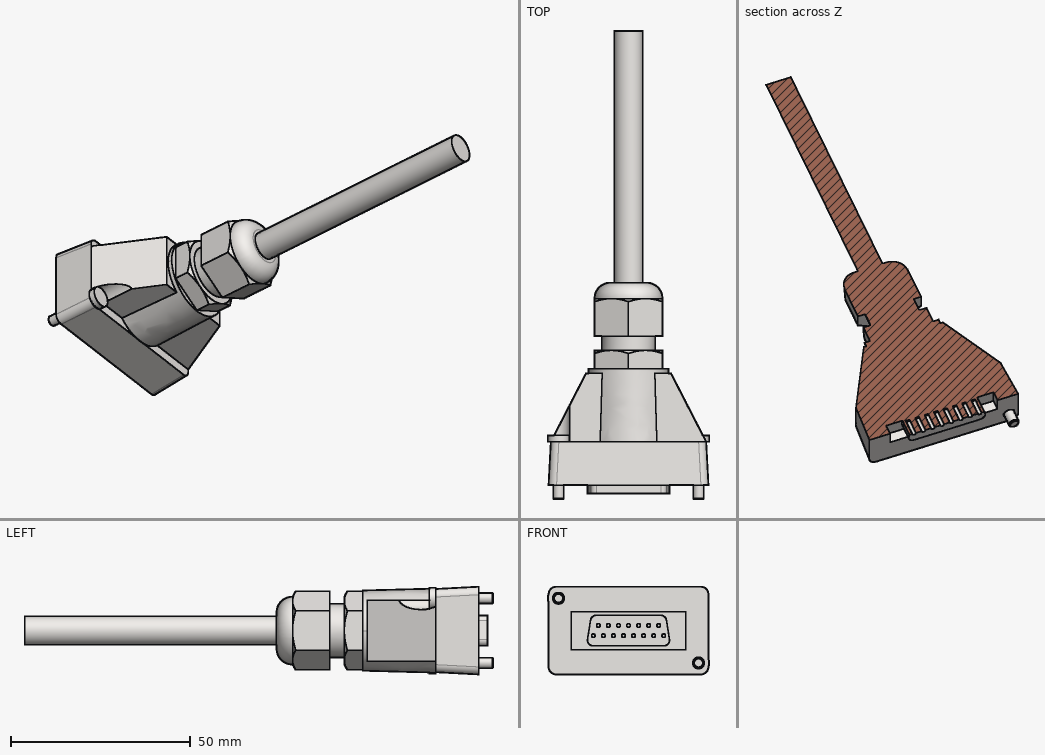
import cadquery as cq
import math


block_width = 44.6
block_height = 24.5
block_depth = 12.0
block_draft = 3.0
block_corner_radius = 2.2

opening_width = 32.0
opening_height = 10.6
opening_depth = 3.0

plug_width = 23.4
plug_height = 8.5
plug_slant = 9.0
plug_corner_radius = 1.6
plug_overhang = 2.4

contact_diameter = 1.0
contact_depth = 5.0
contact_pitch = 2.8
contact_row_spacing = 2.84
upper_contacts = 7
lower_contacts = 8

screw_diameter = 3.0
screw_hole_diameter = 3.2
screw_tip_chamfer = 0.3
screw_overhang = 4.0
screw_head_diameter = 6.0
screw_head_height = 1.8
head_span = 44.99
screw_x = (head_span - screw_head_diameter) / 2
screw_z = 9.0
head_pocket_diameter = 6.3

wing_thickness = 17.0
wing_end_y = 31.1
wing_end_width = 23.7
barrel_end_y = 32.4
barrel_radius = 11.2
barrel_base_half_height = 11.75

hex_sides = 6
hex_across_flats = 19.0
hex_chamfer_angle = 30.0
lower_hex_end_y = 37.5
neck_diameter = 15.0
nut_start_y = 41.5
nut_end_y = 51.9
dome_radius = 4.5

cable_diameter = 8.0
total_length = 130.5
cable_end_y = total_length - screw_overhang


def section_at(y):
    """Sketch plane facing -Y, with local axes along X and Z."""
    return cq.Workplane("XZ", origin=(0, y, 0))


def rod(x, z, diameter, start_y, end_y):
    """Cylinder along Y."""
    return section_at(end_y).center(x, z).circle(diameter / 2).extrude(end_y - start_y)


def make_block():
    block = section_at(0).rect(block_width, block_height).extrude(-block_depth, taper=block_draft)
    return block.edges("not(|X or |Z)").fillet(block_corner_radius)


def make_wings():
    base_half = block_width / 2 - block_depth * math.tan(math.radians(block_draft))
    end_half = wing_end_width / 2
    outline = [
        (-base_half, block_depth),
        (base_half, block_depth),
        (end_half, wing_end_y),
        (-end_half, wing_end_y),
    ]
    return cq.Workplane("XY").polyline(outline).close().extrude(wing_thickness / 2, both=True)


def make_barrel():
    """Two round halves that coincide at the gland and lean apart in Z toward the block."""
    length = barrel_end_y - block_depth
    lean = barrel_base_half_height - barrel_radius
    barrel = cq.Workplane("XY")
    for shift in (-lean, lean):
        base = section_at(block_depth).center(0, shift).circle(barrel_radius)
        end = base.workplane(offset=-length).center(0, -shift).circle(barrel_radius)
        barrel = barrel.union(end.loft(ruled=True))
    return barrel


def make_hex(start_y, end_y):
    """Hexagon with corners up and down, its +Y corners trimmed by a cone."""
    corner_radius = hex_across_flats / 2 / math.cos(math.pi / hex_sides)
    flat_radius = hex_across_flats / 2
    trim_drop = (corner_radius - flat_radius) * math.tan(math.radians(hex_chamfer_angle))
    prism = section_at(end_y).polygon(hex_sides, 2 * corner_radius).extrude(end_y - start_y)
    prism = prism.rotate((0, 0, 0), (0, 1, 0), 90)
    trim_profile = [
        (0, start_y),
        (corner_radius, start_y),
        (corner_radius, end_y - trim_drop),
        (flat_radius, end_y),
        (0, end_y),
    ]
    trim = cq.Workplane("XY").polyline(trim_profile).close().revolve(360, (0, 0), (0, 1))
    return prism.intersect(trim)


def make_gland():
    neck = rod(0, 0, neck_diameter, lower_hex_end_y, nut_start_y)
    outer_radius = hex_across_flats / 2
    mid_offset = dome_radius * math.sin(math.pi / 4)
    dome = (
        cq.Workplane("XY")
        .moveTo(0, nut_end_y)
        .lineTo(outer_radius, nut_end_y)
        .threePointArc(
            (outer_radius - dome_radius + mid_offset, nut_end_y + mid_offset),
            (outer_radius - dome_radius, nut_end_y + dome_radius),
        )
        .lineTo(0, nut_end_y + dome_radius)
        .close()
        .revolve(360, (0, 0), (0, 1))
    )
    lower_hex = make_hex(barrel_end_y, lower_hex_end_y)
    nut = make_hex(nut_start_y, nut_end_y)
    return lower_hex.union(neck).union(nut).union(dome)


def make_opening():
    return section_at(opening_depth).rect(opening_width, opening_height).extrude(opening_depth)


def make_plug():
    slant_shift = plug_height * math.tan(math.radians(plug_slant))
    lower_half = plug_width / 2
    upper_half = lower_half - slant_shift
    outline = [
        (-lower_half, -plug_height / 2),
        (lower_half, -plug_height / 2),
        (upper_half, plug_height / 2),
        (-upper_half, plug_height / 2),
    ]
    length = opening_depth + plug_overhang
    plug = section_at(opening_depth).polyline(outline).close().extrude(length)
    return plug.edges("|Y").fillet(plug_corner_radius)


def make_contacts():
    rows = [(upper_contacts, contact_row_spacing / 2), (lower_contacts, -contact_row_spacing / 2)]
    centres = []
    for count, z in rows:
        for index in range(count):
            centres.append(((index - (count - 1) / 2) * contact_pitch, z))
    holes = section_at(contact_depth - plug_overhang).pushPoints(centres)
    return holes.circle(contact_diameter / 2).extrude(contact_depth)


def make_screw(x, z):
    shank = rod(x, z, screw_diameter, -screw_overhang, block_depth)
    shank = shank.faces("<Y").chamfer(screw_tip_chamfer)
    head = rod(x, z, screw_head_diameter, block_depth, block_depth + screw_head_height)
    return shank.union(head)


result = make_block().union(make_wings()).union(make_barrel()).union(make_gland())
result = result.union(rod(0, 0, cable_diameter, nut_end_y, cable_end_y))
result = result.cut(make_opening()).union(make_plug()).cut(make_contacts())

for side in (-1, 1):
    centre_x = side * screw_x
    centre_z = -side * screw_z
    result = result.cut(rod(centre_x, centre_z, head_pocket_diameter, block_depth, wing_end_y))
    result = result.cut(rod(centre_x, centre_z, screw_hole_diameter, 0, block_depth))
    result = result.union(make_screw(centre_x, centre_z))